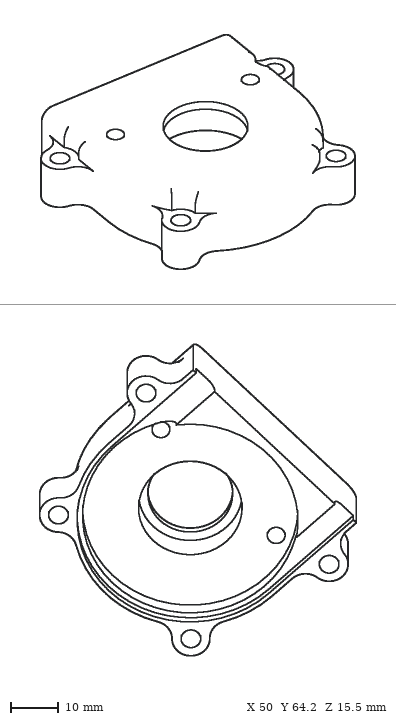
import cadquery as cq
import math

body_radius = 25.0
flat_face_x = -24.95
body_height = 14.8
edge_radius = 2.95

ear_radius = 4.05
ear_height = 9.95
ear_hole_diameter = 4.2
ear_distance = 32.1 - ear_radius
flank_radius = 4.05
scallop_radius = ear_radius
side_ear_x = -14.0
round_ear_angle = 46.3

shaft_hole_diameter = 18.0
bearing_diameter = 22.0
shaft_lip_thickness = 2.0
bearing_depth = 7.0
cavity_radius = 22.9
ear_root_y = cavity_radius + 0.65
cavity_height = body_height - shaft_lip_thickness - bearing_depth
screw_hole_diameter = 3.8
screw_holes = [(-8.35, 17.65), (-8.65, -17.3)]

rabbet_radius = 24.05
rabbet_height = 2.05
block_half_width = 18.4
tongue_height = 0.7


def cylinder(radius, height, x=0, y=0, z=0):
    return cq.Workplane("XY", origin=(x, y, z)).circle(radius).extrude(height)


def d_prism(radius, height):
    """Half disc on +X joined to a rectangle reaching the flat face."""
    return (
        cq.Workplane("XY")
        .moveTo(flat_face_x, -radius)
        .lineTo(0, -radius)
        .threePointArc((radius, 0), (0, radius))
        .lineTo(flat_face_x, radius)
        .close()
        .extrude(height)
    )


def ear(foot, flank_center):
    """Ear pointing along +Y; its flanks run tangentially into the wall at the feet."""
    foot_x, foot_y = foot
    center_x, center_y = flank_center
    share = ear_radius / (ear_radius + flank_radius)
    joint_x = center_x * share
    joint_y = ear_distance + (center_y - ear_distance) * share
    middle_x = (foot_x + joint_x) / 2 - center_x
    middle_y = (foot_y + joint_y) / 2 - center_y
    stretch = flank_radius / math.hypot(middle_x, middle_y)
    bend_x = center_x + middle_x * stretch
    bend_y = center_y + middle_y * stretch
    return (
        cq.Workplane("XY")
        .moveTo(foot_x, foot_y)
        .threePointArc((bend_x, bend_y), (joint_x, joint_y))
        .threePointArc((0, ear_distance + ear_radius), (-joint_x, joint_y))
        .threePointArc((-bend_x, bend_y), (-foot_x, foot_y))
        .lineTo(-foot_x, ear_root_y)
        .lineTo(foot_x, ear_root_y)
        .close()
        .extrude(ear_height)
    )


def side_ear():
    center_y = body_radius + flank_radius
    reach = ear_radius + flank_radius
    center_x = math.sqrt(reach**2 - (center_y - ear_distance) ** 2)
    return ear((center_x, body_radius), (center_x, center_y)).translate((side_ear_x, 0, 0))


def round_ear():
    orbit = body_radius + flank_radius
    reach = ear_radius + flank_radius
    cosine = (orbit**2 + ear_distance**2 - reach**2) / (2 * orbit * ear_distance)
    sine = math.sqrt(1 - cosine**2)
    foot = (body_radius * sine, body_radius * cosine)
    upright = ear(foot, (orbit * sine, orbit * cosine))
    return upright.rotate((0, 0, 0), (0, 0, 1), round_ear_angle - 90)


round_ear_x = ear_distance * math.cos(math.radians(round_ear_angle))
round_ear_y = ear_distance * math.sin(math.radians(round_ear_angle))
ear_centers = [(x, side * y) for side in (1, -1)
               for x, y in ((side_ear_x, ear_distance), (round_ear_x, round_ear_y))]

shell = d_prism(body_radius, body_height)
for x, y in ear_centers:
    shell = shell.cut(cylinder(scallop_radius, body_height, x, y, ear_height))
top_edges = shell.faces(">Z").edges("not <X")
shell = top_edges.fillet(edge_radius)

for one_ear in (side_ear(), round_ear()):
    shell = shell.union(one_ear).union(one_ear.mirror("XZ"))

block = cq.Workplane("XY").box(
    -flat_face_x, 2 * block_half_width, rabbet_height + tongue_height, centered=(False, True, False)
).translate((flat_face_x, 0, -tongue_height))
shell = shell.union(block)

rabbet = d_prism(rabbet_radius, rabbet_height).cut(block)
for side in (1, -1):
    corner = (
        cq.Workplane("YZ", origin=(flat_face_x, 0, 0))
        .moveTo(side * block_half_width, 0)
        .radiusArc((side * (block_half_width + rabbet_height), rabbet_height), side * rabbet_height)
        .lineTo(side * block_half_width, rabbet_height)
        .close()
        .extrude(-flat_face_x)
    )
    rabbet = rabbet.cut(corner)
shell = shell.cut(rabbet)
shell = shell.cut(cylinder(cavity_radius, cavity_height + tongue_height, z=-tongue_height))

shell = shell.cut(cylinder(shaft_hole_diameter / 2, body_height))
shell = shell.cut(cylinder(bearing_diameter / 2, body_height - shaft_lip_thickness))

for x, y in screw_holes:
    shell = shell.cut(cylinder(screw_hole_diameter / 2, body_height, x, y))
for x, y in ear_centers:
    shell = shell.cut(cylinder(ear_hole_diameter / 2, ear_height, x, y))

result = shell